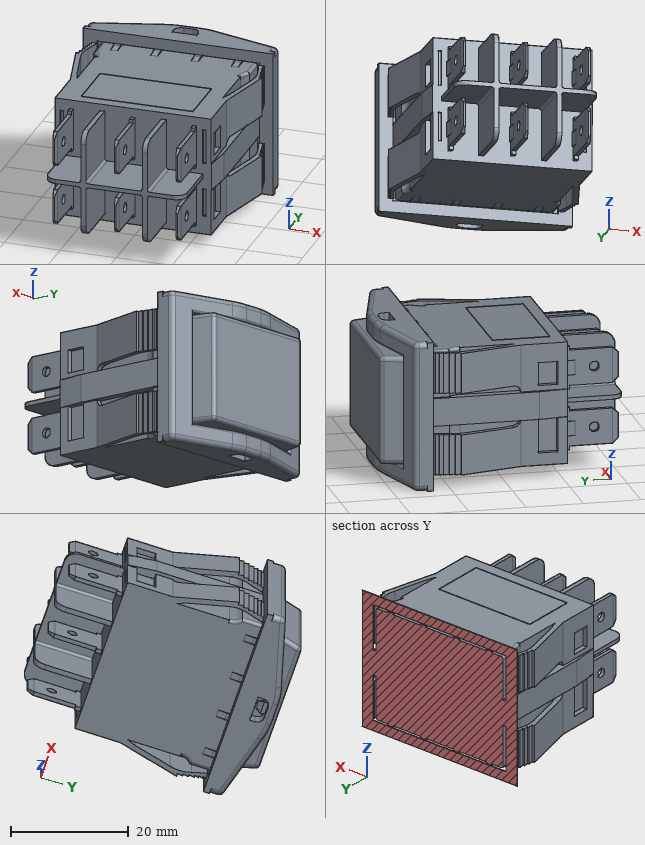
import cadquery as cq


BEZEL_X, BEZEL_Z = 34.0, 26.3
FLANGE_T = 1.05
HOOD_CORNER_Y = 3.2
HOOD_BEND_X, HOOD_BEND_Y = 5.02, 6.55
HOOD_TOP_Y, HOOD_FLAT_X = 7.05, 1.9
HOOD_FILLET = 0.95
OPENING_X, OPENING_Z, OPENING_FLOOR_Y = 25.3, 19.6, 2.55
OPENING_FILLET = 0.35
SEAT_X, SEAT_Z, SEAT_DEPTH = 29.1, 22.2, 0.65

POCKET_W, POCKET_Y0, POCKET_Y1, POCKET_R = 4.4, 3.3, 5.53, 1.35
POCKET_FLOOR_Z = 10.55
MARK_H = 0.85
MARK_TIP_W, MARK_W, MARK_TOP_W = 1.35, 2.2, 1.6
MARK_Y0, MARK_SLOPE_Y, MARK_BEVEL_Y = 3.85, 4.8, 5.25

ROCKER_TOP_Y, ROCKER_TOP_X, ROCKER_Z = 8.0, 23.05, 19.07
ROCKER_SLOPE = 0.27
ROCKER_FILLET = 0.8

BODY_X, BODY_Z, BODY_END = 26.1, 21.52, 24.05
SHOULDER_X, SHOULDER_Y, NECK_Y = 27.95, 3.5, 5.5
NECK_MID_X, NECK_MID_Y = 13.35, 4.2
SHOULDER_FILLET = 0.55
LABEL_X, LABEL_Y0, LABEL_Y1, LABEL_DEPTH = 19.95, 11.9, 21.9, 0.1
WEDGE_X_CENTERS = (-10.8, -3.65, 3.65, 10.8)
WEDGE_W, WEDGE_H, WEDGE_FLAT, WEDGE_LEN = 1.22, 0.25, 0.5, 2.03

RIB_X, RIB_END_X, RIB_Z, RIB_TAPER_Y = SEAT_X, 28.1, 4.9, 19.0

CLIP_X = SHOULDER_X / 2
ARM_Z0 = 3.67
ARM_GAP = 0.13
ARM_TIP_X = 14.45
ARM_BEND = ((15.2, 2.8), (15.55, 4.73), (15.28, 6.63))
ARM_ROOT_Y, ARM_SPLIT_Y, ARM_SPLIT_R = 15.95, 14.85, 1.4
ARM_KNEE_X, ARM_KNEE_Y = 13.65, 13.38
TOOTH_DEPTHS = (4.95, 3.95, 3.0, 2.03, 1.3, 0.65)
TOOTH_ROOT_X, TOOTH_ROOT_SLOPE = 15.15, 0.205
TOOTH_H, CATCH_H = 0.35, 0.5
WINDOW_Y0, WINDOW_Y1, WINDOW_DEPTH = 19.0, 22.35, 0.93
WINDOW_Z_RANGES = ((3.38, 7.43), (-8.55, -2.45))
END_SLOT_Z_RANGES = ((2.4, 8.55), (-7.43, -2.4))
END_SLOT_W, END_SLOT_DEPTH = 0.6, 0.42

TERMINAL_PITCH, TERMINAL_Z, TERMINAL_T = 11.0, 5.38, 0.7
BASE_W, BASE_L = 7.5, 0.95
BLADE_W, BLADE_CHAMFER_Y, BLADE_END = 6.25, 32.5, 33.55
TIP_W, TIP_T = 4.35, 0.35
HOLE_D, HOLE_Y = 1.7, 29.35
STOP_T, STOP_W, STOP_L = 0.19, 2.57, 1.95
DIVIDER_END = 34.2
WALL_X, WALL_T, WALL_HEIGHT = 5.505, 0.9, 19.07
SHELF_X, SHELF_T = 25.0, 0.75
DIVIDER_R, CROSS_FILLET = 2.0, 0.45
EMBED = 0.42


def block(x0, x1, y0, y1, z0, z1):
    """Box between two opposite corners."""
    return cq.Workplane("XY").box(x1 - x0, y1 - y0, z1 - z0, centered=False).translate((x0, y0, z0))


def centered_block(x_size, y0, y1, z_size):
    return block(-x_size / 2, x_size / 2, y0, y1, -z_size / 2, z_size / 2)


def slab(outline, z0, z1):
    """Extrude a closed XY outline from z0 to z1."""
    return outline.extrude(z1 - z0).translate((0, 0, z0))


def with_mirror(shape, plane):
    return shape.union(shape.mirror(plane))


def make_bezel():
    side = BEZEL_X / 2
    hood = (
        cq.Workplane("XY")
        .moveTo(-side, FLANGE_T)
        .lineTo(-side, HOOD_CORNER_Y)
        .lineTo(-HOOD_BEND_X, HOOD_BEND_Y)
        .tangentArcPoint((-HOOD_FLAT_X, HOOD_TOP_Y), relative=False)
        .lineTo(HOOD_FLAT_X, HOOD_TOP_Y)
        .tangentArcPoint((HOOD_BEND_X, HOOD_BEND_Y), relative=False)
        .lineTo(side, HOOD_CORNER_Y)
        .lineTo(side, FLANGE_T)
        .close()
    )
    hood = slab(hood, -BEZEL_Z / 2, BEZEL_Z / 2)
    hood = hood.edges("not(<Y)").fillet(HOOD_FILLET)
    bezel = hood.union(centered_block(BEZEL_X, 0, FLANGE_T, BEZEL_Z))
    bezel = bezel.cut(centered_block(OPENING_X, OPENING_FLOOR_Y, HOOD_TOP_Y + EMBED, OPENING_Z))
    rim = cq.selectors.BoxSelector(
        (-OPENING_X / 2 - EMBED, OPENING_FLOOR_Y + EMBED, -OPENING_Z / 2 - EMBED),
        (OPENING_X / 2 + EMBED, HOOD_TOP_Y + EMBED, OPENING_Z / 2 + EMBED),
    )
    bezel = bezel.edges("not(|Y)").edges(rim).fillet(OPENING_FILLET)
    return bezel.cut(centered_block(SEAT_X, -EMBED, SEAT_DEPTH, SEAT_Z))


def make_indicator_pocket():
    half = POCKET_W / 2
    cutter = block(-half, half, POCKET_Y0, POCKET_Y1, POCKET_FLOOR_Z, BEZEL_Z / 2 + EMBED)
    return with_mirror(cutter.edges("|Z and >Y").fillet(POCKET_R), "XY")


def make_indicator_mark():
    """Small wedge on the pocket floor that slopes down towards the body."""
    tip, half, top = MARK_TIP_W / 2, MARK_W / 2, MARK_TOP_W / 2
    outline = cq.Workplane("XY").polyline(
        [(-tip, MARK_Y0), (tip, MARK_Y0), (half, MARK_SLOPE_Y), (half, MARK_BEVEL_Y), (top, POCKET_Y1),
         (-top, POCKET_Y1), (-half, MARK_BEVEL_Y), (-half, MARK_SLOPE_Y)]
    ).close()
    base_z = POCKET_FLOOR_Z - EMBED
    top_z = POCKET_FLOOR_Z + MARK_H
    slope = (
        cq.Workplane("YZ")
        .polyline([(MARK_Y0, base_z), (MARK_Y0, POCKET_FLOOR_Z), (MARK_SLOPE_Y, top_z), (POCKET_Y1, top_z),
                   (POCKET_Y1, base_z)])
        .close()
        .extrude(POCKET_W / 2, both=True)
    )
    return with_mirror(slab(outline, base_z, top_z).intersect(slope), "XY")


def make_rocker():
    base_y = OPENING_FLOOR_Y - EMBED
    top = ROCKER_TOP_X / 2
    base = top + (ROCKER_TOP_Y - base_y) * ROCKER_SLOPE
    outline = cq.Workplane("XY").polyline(
        [(-base, base_y), (base, base_y), (top, ROCKER_TOP_Y), (-top, ROCKER_TOP_Y)]
    ).close()
    return slab(outline, -ROCKER_Z / 2, ROCKER_Z / 2).edges("not(<Y)").fillet(ROCKER_FILLET)


def make_body():
    half, shoulder = BODY_X / 2, SHOULDER_X / 2
    root_y = SEAT_DEPTH + EMBED
    outline = (
        cq.Workplane("XY")
        .moveTo(-shoulder, root_y)
        .lineTo(-shoulder, -SHOULDER_Y)
        .threePointArc((-NECK_MID_X, -NECK_MID_Y), (-half, -NECK_Y))
        .lineTo(half, -NECK_Y)
        .threePointArc((NECK_MID_X, -NECK_MID_Y), (shoulder, -SHOULDER_Y))
        .lineTo(shoulder, root_y)
        .close()
    )
    shoulders = slab(outline, -BODY_Z / 2, BODY_Z / 2)
    sides = shoulders.faces("<Z or >Z").edges("not(<Y or >Y)")
    body = sides.fillet(SHOULDER_FILLET).union(centered_block(BODY_X, -BODY_END, -NECK_Y, BODY_Z))
    label = block(-LABEL_X / 2, LABEL_X / 2, -LABEL_Y1, -LABEL_Y0, BODY_Z / 2 - LABEL_DEPTH, BODY_Z)
    return body.cut(label)


def make_wedges():
    """Ramps on the broad body faces, against the bezel."""
    face = BODY_Z / 2
    top = face + WEDGE_H
    root_y = SEAT_DEPTH + EMBED
    ramp = (
        cq.Workplane("YZ")
        .polyline([(root_y, face - EMBED), (root_y, top), (-WEDGE_FLAT, top), (-WEDGE_LEN, face),
                   (-WEDGE_LEN, face - EMBED)])
        .close()
        .extrude(WEDGE_W / 2, both=True)
    )
    ramps = cq.Workplane("XY")
    for x in WEDGE_X_CENTERS:
        ramps = ramps.union(ramp.translate((x, 0, 0)))
    return with_mirror(ramps, "XY")


def make_ribs():
    side, end = RIB_X / 2, RIB_END_X / 2
    root_y = SEAT_DEPTH + EMBED
    outline = cq.Workplane("XY").polyline(
        [(-side, root_y), (-side, -RIB_TAPER_Y), (-end, -BODY_END), (end, -BODY_END), (side, -RIB_TAPER_Y),
         (side, root_y)]
    ).close()
    return slab(outline, -RIB_Z / 2, RIB_Z / 2)


def make_clips():
    """Left pair of clips, mirrored to the right; the slot between the arms is bridged by the rib."""
    inner = BODY_X / 2
    plate = block(-CLIP_X, -inner + EMBED, -BODY_END, -ARM_ROOT_Y, -BODY_Z / 2, BODY_Z / 2)

    points = []
    for depth in TOOTH_DEPTHS:
        root = TOOTH_ROOT_X + TOOTH_ROOT_SLOPE * depth
        height = CATCH_H if depth == TOOTH_DEPTHS[0] else TOOTH_H
        points += [(-root - height, -depth), (-root, -depth)]
    bend_start, bend_middle, bend_end = [(-x, -depth) for x, depth in ARM_BEND]
    outline = (
        cq.Workplane("XY")
        .moveTo(-inner + EMBED, -ARM_ROOT_Y)
        .lineTo(-CLIP_X, -ARM_ROOT_Y)
        .polyline(points, includeCurrent=True)
        .lineTo(-TOOTH_ROOT_X - TOOTH_H, -ARM_GAP)
        .lineTo(-ARM_TIP_X, -ARM_GAP)
        .lineTo(*bend_start)
        .threePointArc(bend_middle, bend_end)
        .lineTo(-ARM_KNEE_X, -ARM_KNEE_Y)
        .lineTo(-inner, -ARM_SPLIT_Y)
        .lineTo(-inner + EMBED, -ARM_SPLIT_Y)
        .close()
    )
    arms = slab(outline, -BODY_Z / 2, BODY_Z / 2)
    slot = block(-BEZEL_X / 2, -inner + EMBED, -ARM_ROOT_Y, 0, -ARM_Z0, ARM_Z0)
    arms = arms.cut(slot.edges("|X and <Y").fillet(ARM_SPLIT_R))
    return with_mirror(plate.union(arms), "YZ")


def make_window_cutters():
    outer = BEZEL_X / 2
    inner = BODY_X / 2
    cutters = cq.Workplane("XY")
    for z0, z1 in WINDOW_Z_RANGES:
        cutters = cutters.union(block(-outer, WINDOW_DEPTH - CLIP_X, -WINDOW_Y1, -WINDOW_Y0, z0, z1))
    for z0, z1 in END_SLOT_Z_RANGES:
        cutters = cutters.union(
            block(-inner, END_SLOT_W - inner, -BODY_END, END_SLOT_DEPTH - BODY_END, z0, z1)
        )
    return with_mirror(cutters, "YZ")


def make_dividers():
    root_y = EMBED - BODY_END
    wall = block(-WALL_T / 2, WALL_T / 2, -DIVIDER_END, root_y, -WALL_HEIGHT / 2, WALL_HEIGHT / 2)
    wall = wall.edges("|X and <Y").fillet(DIVIDER_R)
    shelf = centered_block(SHELF_X, -DIVIDER_END, root_y, SHELF_T)
    shelf = shelf.edges("|Z and <Y").fillet(DIVIDER_R)
    dividers = shelf
    for x in (-WALL_X, WALL_X):
        dividers = dividers.union(wall.translate((x, 0, 0)))
    inside_corners = cq.selectors.BoxSelector(
        (-WALL_X - WALL_T, -DIVIDER_END - EMBED, -SHELF_T), (WALL_X + WALL_T, root_y, SHELF_T)
    )
    return dividers.edges("|Y").edges(inside_corners).fillet(CROSS_FILLET)


def make_terminal():
    root_y = EMBED - BODY_END
    base_y = -BODY_END - BASE_L
    face = (
        cq.Workplane("YZ")
        .polyline([(root_y, BASE_W / 2), (base_y, BASE_W / 2), (base_y, BLADE_W / 2),
                   (-BLADE_CHAMFER_Y, BLADE_W / 2), (-BLADE_END, TIP_W / 2)])
        .lineTo(-BLADE_END, 0)
        .lineTo(root_y, 0)
        .close()
        .extrude(TERMINAL_T / 2, both=True)
    )
    edge = cq.Workplane("XY").polyline(
        [(TERMINAL_T / 2, root_y), (TERMINAL_T / 2, -BLADE_CHAMFER_Y), (TIP_T / 2, -BLADE_END),
         (-TIP_T / 2, -BLADE_END), (-TERMINAL_T / 2, -BLADE_CHAMFER_Y), (-TERMINAL_T / 2, root_y)]
    ).close()
    blade = with_mirror(face, "XY").intersect(slab(edge, -BASE_W / 2, BASE_W / 2))
    hole = cq.Workplane("YZ").center(-HOLE_Y, 0).circle(HOLE_D / 2).extrude(TERMINAL_T, both=True)
    stop_foot = -TERMINAL_T / 2 - STOP_T
    stop = cq.Workplane("XY").polyline(
        [(0, root_y), (stop_foot, root_y), (stop_foot, -BODY_END), (-TERMINAL_T / 2, -BODY_END - STOP_L),
         (0, -BODY_END - STOP_L)]
    ).close()
    return blade.cut(hole).union(slab(stop, -STOP_W / 2, STOP_W / 2))


def make_terminals():
    terminal = make_terminal()
    terminals = cq.Workplane("XY")
    for column in (-1, 0, 1):
        for row in (-1, 1):
            terminals = terminals.union(terminal.translate((column * TERMINAL_PITCH, 0, row * TERMINAL_Z)))
    return terminals


result = make_bezel().cut(make_indicator_pocket())
for feature in (
    make_indicator_mark(),
    make_rocker(),
    make_body(),
    make_wedges(),
    make_ribs(),
    make_clips(),
):
    result = result.union(feature)
result = result.cut(make_window_cutters())
result = result.union(make_dividers()).union(make_terminals())